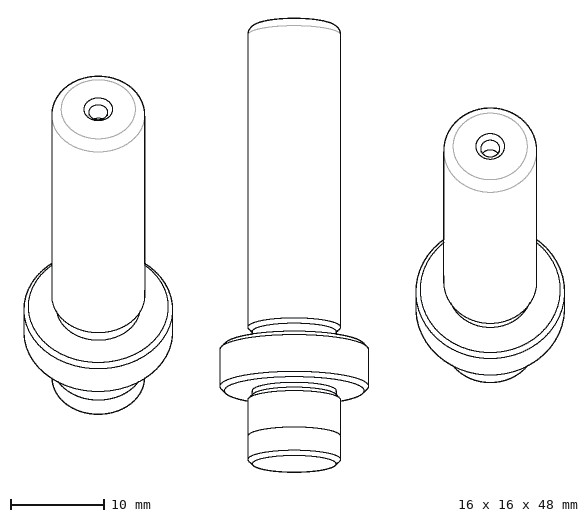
import cadquery as cq
import math

length = 48.0
pin_radius = 5.0
flange_radius = 7.99
neck_radius = 4.5

flange_bottom = 8.0
flange_top = 13.0
lower_neck_bottom = 7.5
upper_neck_top = 14.5

edge_chamfer = 0.5
top_fillet = 1.0
neck_chamfer = pin_radius - neck_radius

pilot_height = 3.0
pilot_clearance = 0.01
pilot_radius = pin_radius - pilot_clearance

hole_radius = 1.0
hole_depth = 2.9
countersink_radius = 1.55
countersink_angle = 90.0
drill_point_angle = 120.0


def cone_height(radius_change, included_angle):
    """Axial length of a cone whose radius changes by radius_change."""
    return radius_change / math.tan(math.radians(included_angle / 2))


def make_body():
    """Pin, necks and flange, revolved from one half profile about Z."""
    fillet_diagonal = top_fillet * math.sqrt(0.5)
    fillet_center_radius = pin_radius - top_fillet
    fillet_center_height = length - top_fillet
    profile = (
        cq.Workplane("XZ")
        .moveTo(0, 0)
        .lineTo(pilot_radius - edge_chamfer, 0)
        .lineTo(pilot_radius, edge_chamfer)
        .lineTo(pilot_radius, pilot_height)
        .lineTo(pin_radius, pilot_height)
        .lineTo(pin_radius, lower_neck_bottom - neck_chamfer)
        .lineTo(neck_radius, lower_neck_bottom)
        .lineTo(neck_radius, flange_bottom)
        .lineTo(flange_radius - edge_chamfer, flange_bottom)
        .lineTo(flange_radius, flange_bottom + edge_chamfer)
        .lineTo(flange_radius, flange_top - edge_chamfer)
        .lineTo(flange_radius - edge_chamfer, flange_top)
        .lineTo(neck_radius, flange_top)
        .lineTo(neck_radius, upper_neck_top)
        .lineTo(pin_radius, upper_neck_top + neck_chamfer)
        .lineTo(pin_radius, fillet_center_height)
        .threePointArc(
            (fillet_center_radius + fillet_diagonal, fillet_center_height + fillet_diagonal),
            (fillet_center_radius, length),
        )
        .lineTo(0, length)
        .close()
    )
    return profile.revolve(360, (0, 0, 0), (0, 1, 0))


def make_center_hole():
    """Countersunk blind hole with a conical drill point."""
    countersink_depth = cone_height(countersink_radius - hole_radius, countersink_angle)
    point_depth = hole_depth + cone_height(hole_radius, drill_point_angle)
    profile = (
        cq.Workplane("XZ")
        .moveTo(0, length)
        .lineTo(countersink_radius, length)
        .lineTo(hole_radius, length - countersink_depth)
        .lineTo(hole_radius, length - hole_depth)
        .lineTo(0, length - point_depth)
        .close()
    )
    return profile.revolve(360, (0, 0, 0), (0, 1, 0))


result = make_body().cut(make_center_hole())